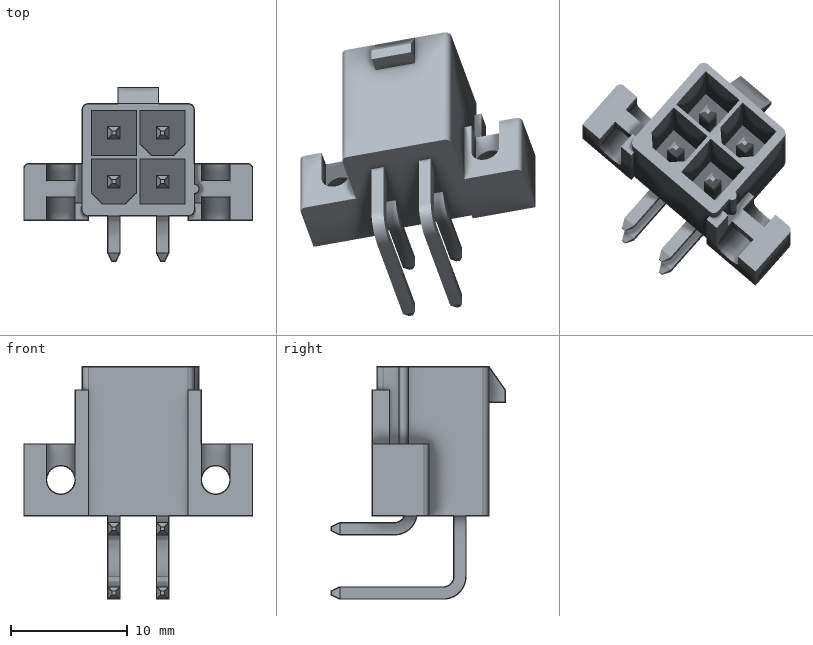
import cadquery as cq


overall_width = 19.6
overall_depth = 14.9
overall_height = 19.9

housing_side = 9.61
housing_height = 12.78
housing_corner_radius = 0.54
housing_half = housing_side / 2

pitch = 4.18
grid_center_y = 0.22
column_xs = (-pitch / 2, pitch / 2)
rear_row_y = grid_center_y + pitch / 2
front_row_y = grid_center_y - pitch / 2

cavity_side = 3.85
cavity_depth = 9.95
cavity_chamfer = 0.95
cavity_floor_z = housing_height - cavity_depth

latch_width = 3.48
latch_reach = 1.4
latch_bottom_z = 9.73
latch_ramp_z = 10.79

rib_radius = 0.4
rib_y = -2.49

ear_front_y = -5.2
ear_back_y = -0.32
ear_height = 6.17
ear_corner_radius = 0.45
post_height = 10.79
post_back_y = -3.7
post_outer_x = 5.41
post_inner_x = housing_half - housing_corner_radius
ear_outer_x = overall_width / 2

hole_diameter = 2.43
hole_z = 3.08
hole_x = post_outer_x + hole_diameter / 2
web_front_y = -3.18
web_back_y = -1.8

pin_side = 1.05
pin_bend_radius = 1.41
pin_taper_length = 0.74
pin_tip_side = 0.34
pin_mating_recess = 3.98
pin_mating_tip_z = housing_height - pin_mating_recess
pin_solder_tip_y = housing_half + latch_reach - overall_depth
rear_leg_z = housing_height - overall_height + pin_side / 2
front_leg_z = -1.1


def box(x_min, x_max, y_min, y_max, z_min, z_max):
    """Axis-aligned box between the given limits."""
    size = (x_max - x_min, y_max - y_min, z_max - z_min)
    return cq.Workplane("XY").box(*size, centered=False).translate((x_min, y_min, z_min))


def make_shell():
    """Rounded square housing block with its latch and polarising rib."""
    block = cq.Workplane("XY").rect(housing_side, housing_side).extrude(housing_height)
    block = block.edges("|Z").fillet(housing_corner_radius)

    latch_profile = [
        (0, latch_bottom_z),
        (housing_half + latch_reach, latch_bottom_z),
        (housing_half + latch_reach, latch_ramp_z),
        (housing_half, housing_height),
        (0, housing_height),
    ]
    latch = cq.Workplane("YZ").polyline(latch_profile).close().extrude(latch_width / 2, both=True)

    rib = cq.Workplane("XY").center(housing_half, rib_y).circle(rib_radius).extrude(housing_height)
    return block.union(latch).union(rib)


def make_cavity(x, y, chamfered):
    """Square cavity; a keyed one has both front vertical edges chamfered."""
    cavity = cq.Workplane("XY", origin=(x, y, cavity_floor_z)).rect(cavity_side, cavity_side)
    cavity = cavity.extrude(cavity_depth)
    if chamfered:
        cavity = cavity.faces("<Y").edges("|Z").chamfer(cavity_chamfer)
    return cavity


def make_ear():
    """Mounting ear for the +X side, running in to the housing wall."""
    ear = box(post_inner_x, ear_outer_x, ear_front_y, ear_back_y, 0, ear_height)
    ear = ear.edges("|Z and >X and >Y").fillet(ear_corner_radius)
    post = box(post_inner_x, post_outer_x, ear_front_y, post_back_y, 0, post_height)

    slot_sides = (hole_x - hole_diameter / 2, hole_x + hole_diameter / 2)
    front_slot = box(*slot_sides, ear_front_y, web_front_y, hole_z, ear_height)
    back_slot = box(*slot_sides, web_back_y, ear_back_y, hole_z, ear_height)
    hole = cq.Workplane("XZ", origin=(hole_x, ear_back_y, hole_z)).circle(hole_diameter / 2)
    hole = hole.extrude(ear_back_y - ear_front_y)
    return ear.cut(front_slot).cut(back_slot).cut(hole).union(post)


def make_pin_tip(plane_name, origin):
    """Tapered square pin end growing along the normal of the named plane."""
    base = cq.Workplane(plane_name, origin=origin).rect(pin_side, pin_side)
    return base.workplane(offset=pin_taper_length).rect(pin_tip_side, pin_tip_side).loft(ruled=True)


def make_pin(x, y, leg_z):
    """Pin running down through the housing floor, then bending towards -Y."""
    top_z = pin_mating_tip_z - pin_taper_length
    leg_end_y = pin_solder_tip_y + pin_taper_length
    path = (
        cq.Workplane("YZ", origin=(x, 0, 0))
        .moveTo(y, top_z)
        .lineTo(y, leg_z + pin_bend_radius)
        .radiusArc((y - pin_bend_radius, leg_z), pin_bend_radius)
        .lineTo(leg_end_y, leg_z)
    )
    shaft = cq.Workplane("XY", origin=(x, y, top_z)).rect(pin_side, pin_side).sweep(path)
    mating_tip = make_pin_tip("XY", (x, y, top_z))
    solder_tip = make_pin_tip("XZ", (x, leg_end_y, leg_z))
    return shaft.union(mating_tip).union(solder_tip)


right_ear = make_ear()
result = make_shell().union(right_ear).union(right_ear.mirror("YZ"))

left_x, right_x = column_xs
keyed_cavities = ((right_x, rear_row_y), (left_x, front_row_y))
for x in column_xs:
    for y in (rear_row_y, front_row_y):
        result = result.cut(make_cavity(x, y, (x, y) in keyed_cavities))

for x in column_xs:
    for y, leg_z in ((rear_row_y, rear_leg_z), (front_row_y, front_leg_z)):
        result = result.union(make_pin(x, y, leg_z))